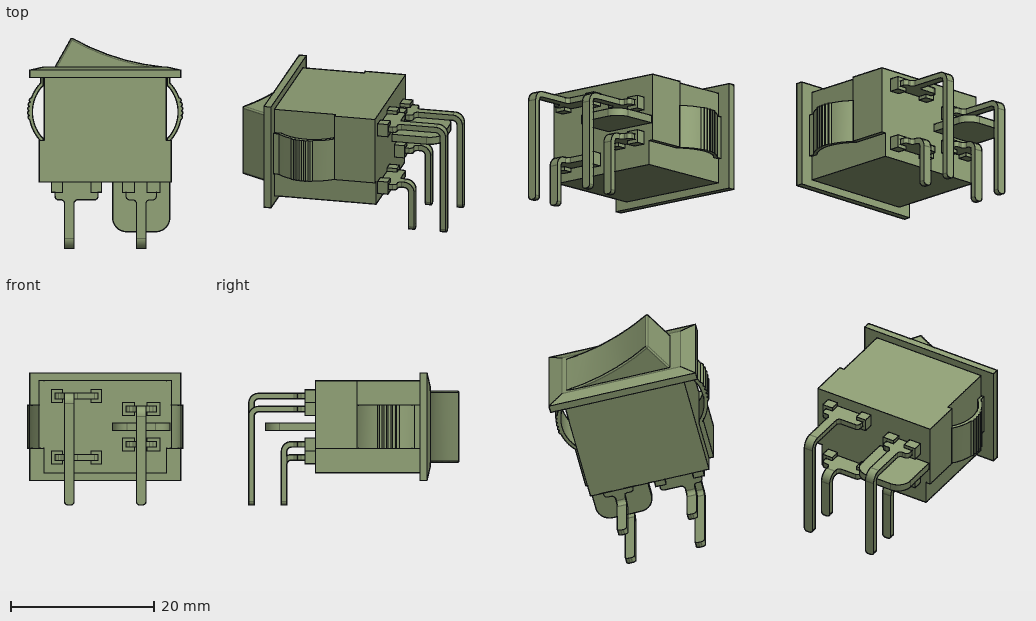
import cadquery as cq
import math


BEZEL_WIDTH = 21.1
BEZEL_HEIGHT = 15.0
RIM_THICKNESS = 1.03
BEZEL_RISE = 0.47
BEZEL_SLOPE_RUN = 2.02

BOX_WIDTH = 17.05
BOX_HEIGHT = 12.87
BOX_REAR_Y = -14.57
BLOCK_WIDTH = 18.4
BLOCK_FRONT_Y = -8.75

ARM_HEIGHT = 6.0
ARM_RADIUS = 5.85
ARM_THICKNESS = 0.5
ARM_CENTRE_X = 4.78
ARM_CENTRE_Y = -4.8
ARM_INNER_RADIUS = ARM_RADIUS - ARM_THICKNESS
ARM_FOOT_INNER_X = 8.62
ARM_FOOT_OUTER_X = 9.0
TOOTH_COUNT = 5
TOOTH_HEIGHT = 0.2
TOOTH_START_ANGLE = 20.0
TOOTH_PITCH_ANGLE = 6.2
FIRST_CREST_ANGLE = 15.2
CREST_PITCH_ANGLE = 5.7
BULGE_HEIGHT = 0.15
BULGE_POSITION = 0.35

ROCKER_DEPTH = 10.0
ROCKER_FILLET = 0.23
ROCKER_HEEL_X = -7.83
ROCKER_TIP = (-4.72, 5.55)
ROCKER_MIDDLE = (-0.55, 3.55)
ROCKER_TOE = (8.2, 1.47)

BARRIER_WIDTH = 8.0
BARRIER_THICKNESS = 1.05
BARRIER_END_Y = -21.5
BARRIER_CORNER_RADIUS = 2.0

TERMINAL_X = 5.0
TERMINAL_THICKNESS = 0.8
STEM_WIDTH = 1.35
SHOULDER_REAR_Y = -17.05
SHOULDER_FILLET = 0.5
BEND_RADIUS = 1.4
BEND_INNER_RADIUS = BEND_RADIUS - TERMINAL_THICKNESS
UPPER_LEG_Y = -23.85
LOWER_LEG_Y = -19.32
LEG_BOTTOM_Z = -10.93
LEG_TIP_FILLET = 0.5
POST_HEIGHT = 1.82
POST_REAR_Y = -16.0
POST_OVERHANG = 0.5

COLUMNS = [
    {"x": -TERMINAL_X, "shoulder": (-7.0, -1.0), "posts": (1.55, 1.5), "z": 4.28},
    {"x": TERMINAL_X, "shoulder": (2.9, 7.12), "posts": (1.67, 1.8), "z": 2.45},
]


def block(x_range, y_range, z_range):
    """Box between the given pairs of limits."""
    (x0, x1), (y0, y1), (z0, z1) = x_range, y_range, z_range
    return cq.Workplane("XY").box(x1 - x0, y1 - y0, z1 - z0, centered=False).translate((x0, y0, z0))


def centred(size):
    """Limits of a length centred on zero."""
    return (-size / 2, size / 2)


def make_bezel():
    rim = block(centred(BEZEL_WIDTH), (0, RIM_THICKNESS), centred(BEZEL_HEIGHT))
    slope_angle = math.degrees(math.atan(BEZEL_SLOPE_RUN / BEZEL_RISE))
    border = (
        cq.Workplane("XZ", origin=(0, RIM_THICKNESS, 0))
        .rect(BEZEL_WIDTH, BEZEL_HEIGHT)
        .extrude(-BEZEL_RISE, taper=slope_angle)
    )
    return rim.union(border)


def make_box():
    box = block(centred(BOX_WIDTH), (BOX_REAR_Y, 0), centred(BOX_HEIGHT))
    rear_block = block(
        centred(BLOCK_WIDTH), (BOX_REAR_Y, BLOCK_FRONT_Y), (-ARM_HEIGHT / 2, BOX_HEIGHT / 2)
    )
    return box.union(rear_block)


def on_arm(radius, angle):
    """Point at a radius and an angle in degrees about the centre of the right arm."""
    turn = math.radians(angle)
    return (ARM_CENTRE_X + radius * math.cos(turn), ARM_CENTRE_Y + radius * math.sin(turn))


def make_right_arm():
    foot_angle = math.degrees(math.acos((ARM_FOOT_OUTER_X - ARM_CENTRE_X) / ARM_RADIUS))
    inner_angle = math.degrees(math.acos((ARM_FOOT_INNER_X - ARM_CENTRE_X) / ARM_INNER_RADIUS))
    end_angle = math.degrees(math.asin((BLOCK_FRONT_Y - ARM_CENTRE_Y) / ARM_RADIUS))
    teeth_end_angle = TOOTH_START_ANGLE - TOOTH_COUNT * TOOTH_PITCH_ANGLE

    outline = (
        cq.Workplane("XY")
        .moveTo(ARM_FOOT_INNER_X, 0)
        .lineTo(ARM_FOOT_OUTER_X, 0)
        .lineTo(*on_arm(ARM_RADIUS, foot_angle))
        .threePointArc(
            on_arm(ARM_RADIUS, (foot_angle + TOOTH_START_ANGLE) / 2),
            on_arm(ARM_RADIUS, TOOTH_START_ANGLE),
        )
    )
    for tooth in range(TOOTH_COUNT):
        root_angle = TOOTH_START_ANGLE - tooth * TOOTH_PITCH_ANGLE
        crest_angle = FIRST_CREST_ANGLE - tooth * CREST_PITCH_ANGLE
        bulge_angle = root_angle + BULGE_POSITION * (crest_angle - root_angle)
        outline = outline.threePointArc(
            on_arm(ARM_RADIUS + BULGE_HEIGHT, bulge_angle),
            on_arm(ARM_RADIUS + TOOTH_HEIGHT, crest_angle),
        ).lineTo(*on_arm(ARM_RADIUS, root_angle - TOOTH_PITCH_ANGLE))
    outline = (
        outline.threePointArc(
            on_arm(ARM_RADIUS, (teeth_end_angle + end_angle) / 2), on_arm(ARM_RADIUS, end_angle)
        )
        .lineTo(ARM_FOOT_INNER_X, BLOCK_FRONT_Y)
        .lineTo(*on_arm(ARM_INNER_RADIUS, -inner_angle))
        .threePointArc(on_arm(ARM_INNER_RADIUS, 0), on_arm(ARM_INNER_RADIUS, inner_angle))
        .close()
    )
    return outline.extrude(ARM_HEIGHT / 2, both=True)


def make_rocker():
    profile = (
        cq.Workplane("XY")
        .moveTo(ROCKER_HEEL_X, 0)
        .lineTo(*ROCKER_TIP)
        .threePointArc(ROCKER_MIDDLE, ROCKER_TOE)
        .lineTo(ROCKER_TOE[0], 0)
        .close()
    )
    rocker = profile.extrude(ROCKER_DEPTH / 2, both=True)
    tip_edge = cq.selectors.NearestToPointSelector((*ROCKER_TIP, 0))
    side_edges = rocker.faces("<Z or >Z").edges()
    return side_edges.add(rocker.edges(tip_edge)).fillet(ROCKER_FILLET)


def make_barrier():
    barrier = block(
        (TERMINAL_X - BARRIER_WIDTH / 2, TERMINAL_X + BARRIER_WIDTH / 2),
        (BARRIER_END_Y, BOX_REAR_Y),
        centred(BARRIER_THICKNESS),
    )
    return barrier.faces("<Y").edges("|Z").fillet(BARRIER_CORNER_RADIUS)


def make_posts(column, z):
    """The pair of posts that hold the shoulder of one terminal."""
    left = column["shoulder"][0] - POST_OVERHANG
    right = column["shoulder"][1] + POST_OVERHANG
    left_width, right_width = column["posts"]
    y_range = (POST_REAR_Y, BOX_REAR_Y)
    z_range = (z - POST_HEIGHT / 2, z + POST_HEIGHT / 2)
    left_post = block((left, left + left_width), y_range, z_range)
    return left_post.union(block((right - right_width, right), y_range, z_range))


def make_terminal(column, z, leg_y):
    """Flat shoulder and stem leaving the housing, then a bend and a leg pointing down."""
    x = column["x"]
    stem_x = (x - STEM_WIDTH / 2, x + STEM_WIDTH / 2)
    top = z + TERMINAL_THICKNESS / 2
    bottom = z - TERMINAL_THICKNESS / 2
    bend_y = leg_y + BEND_RADIUS
    bend_z = top - BEND_RADIUS

    shoulder = block(column["shoulder"], (SHOULDER_REAR_Y, BOX_REAR_Y), (bottom, top))
    flat = shoulder.union(block(stem_x, (bend_y, BOX_REAR_Y), (bottom, top)))
    corners = cq.selectors.BoxSelector(
        (column["shoulder"][0] - 0.3, SHOULDER_REAR_Y - 0.3, bottom - 0.3),
        (column["shoulder"][1] + 0.3, SHOULDER_REAR_Y + 0.3, top + 0.3),
    )
    flat = flat.edges("|Z").edges(corners).fillet(SHOULDER_FILLET)

    diagonal = math.sqrt(0.5)
    leg = (
        cq.Workplane("YZ", origin=(stem_x[0], 0, 0))
        .moveTo(bend_y, top)
        .threePointArc(
            (bend_y - BEND_RADIUS * diagonal, bend_z + BEND_RADIUS * diagonal), (leg_y, bend_z)
        )
        .lineTo(leg_y, LEG_BOTTOM_Z)
        .lineTo(leg_y + TERMINAL_THICKNESS, LEG_BOTTOM_Z)
        .lineTo(leg_y + TERMINAL_THICKNESS, bend_z)
        .threePointArc(
            (bend_y - BEND_INNER_RADIUS * diagonal, bend_z + BEND_INNER_RADIUS * diagonal),
            (bend_y, bottom),
        )
        .close()
        .extrude(STEM_WIDTH)
        .faces("<Z")
        .edges("|Y")
        .fillet(LEG_TIP_FILLET)
    )
    return flat.union(leg)


right_arm = make_right_arm()
housing = (
    make_bezel()
    .union(make_box())
    .union(right_arm)
    .union(right_arm.mirror("YZ"))
    .union(make_rocker())
    .union(make_barrier())
)

terminals = []
for column in COLUMNS:
    for z, leg_y in ((column["z"], UPPER_LEG_Y), (-column["z"], LOWER_LEG_Y)):
        terminal = make_terminal(column, z, leg_y)
        housing = housing.union(make_posts(column, z).cut(terminal))
        terminals.append(terminal)

result = cq.Compound.makeCompound([housing.val(), *[terminal.val() for terminal in terminals]])